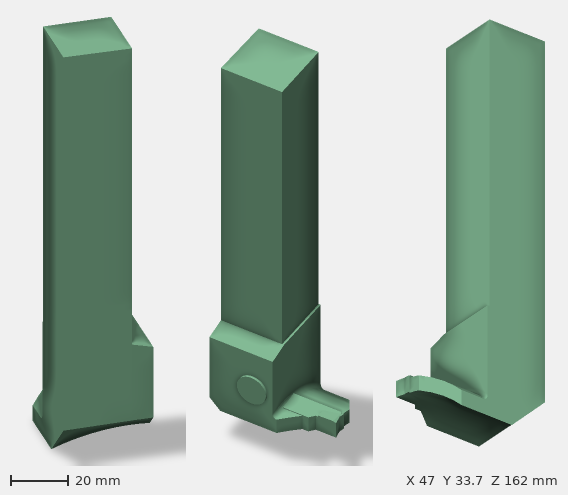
import cadquery as cq
import math

TOTAL_LENGTH = 162.0
TOTAL_REACH = 47.0
SHANK_SIDE = 25.0
HEAD_DEPTH = 32.7
HEAD_HEIGHT = 45.0
SHOULDER_STEP = 0.8
SHOULDER_ANGLE = 15.0
HEEL_CHAMFER = 15.0
BACK_TAPER = 0.5

ARC_RADIUS = 33.9
CROWN_Y = 25.5
BLADE_THICKNESS = 6.2
ROOT_FILLET = 1.6
BLADE_FRONT_X = 1.3
FLANK_START_Y = 13.6
FLANK_END_X = 9.5
REAR_FLANK_X = 12.5

PAD_RISE = 0.3
PAD_FRONT_Y = 18.6
PAD_REAR_Y = 27.0
PAD_CORNER_X = 10.0
PAD_CORNER_END_X = 8.3

SCREW_DIAMETER = 11.8
SCREW_X = 29.3
SCREW_Z = 26.7
SCREW_HEIGHT = 1.0

INSERT_REAR_Y = 25.0
INSERT_LENGTH = 7.5
INSERT_SIDE_Y = 21.0
INSERT_NOSE_Y = 19.6
INSERT_FRONT_X = 0.5
INSERT_WAIST_Y = 21.2
INSERT_WAIST_X = 0.8
RAKE_RISE = 0.6
LAND_DROP = 0.5

OVERCUT = 1.6
CUTTER_SIZE = 81.0

shank_x = TOTAL_REACH - SHANK_SIDE
head_x = shank_x - SHOULDER_STEP
under_crown_z = ARC_RADIUS - math.sqrt(ARC_RADIUS**2 - CROWN_Y**2)
blade_crown_z = under_crown_z + BLADE_THICKNESS
pad_z = blade_crown_z + PAD_RISE
root_x = head_x - ROOT_FILLET


def prism_z(points, bottom, top):
    """Upright prism with the given XY outline."""
    return cq.Workplane("XY").workplane(offset=bottom).polyline(points).close().extrude(top - bottom)


def arc_cylinder(crown_z, radius, start_x, end_x):
    """Cylinder along X whose top line lies at the crown, concentric for any radius."""
    center_z = crown_z - ARC_RADIUS
    return (
        cq.Workplane("YZ").workplane(offset=start_x)
        .center(CROWN_Y, center_z).circle(radius).extrude(end_x - start_x)
    )


def make_shank():
    return cq.Workplane("XY").box(
        SHANK_SIDE, SHANK_SIDE, TOTAL_LENGTH, centered=False
    ).translate((shank_x, 0, 0))


def make_head():
    shoulder_drop = (HEAD_DEPTH - SHANK_SIDE) * math.tan(math.radians(SHOULDER_ANGLE))
    side = [
        (0, 0),
        (HEAD_DEPTH, 0),
        (HEAD_DEPTH, HEAD_HEIGHT - shoulder_drop),
        (SHANK_SIDE, HEAD_HEIGHT),
        (0, HEAD_HEIGHT),
    ]
    return cq.Workplane("YZ").workplane(offset=head_x).polyline(side).close().extrude(TOTAL_REACH - head_x)


def make_blade_plan():
    """Blade outline seen along Z, over its full height."""
    outline = [
        (FLANK_END_X, 0),
        (TOTAL_REACH, 0),
        (TOTAL_REACH, HEAD_DEPTH),
        (root_x, HEAD_DEPTH),
        (REAR_FLANK_X, PAD_REAR_Y),
        (PAD_CORNER_X, PAD_REAR_Y),
        (PAD_CORNER_END_X, INSERT_REAR_Y),
        (BLADE_FRONT_X, INSERT_REAR_Y),
        (BLADE_FRONT_X, FLANK_START_Y),
    ]
    return prism_z(outline, 0, HEAD_HEIGHT)


def make_pad():
    pad_width = PAD_REAR_Y - PAD_FRONT_Y
    pad = cq.Workplane("XY").box(head_x, pad_width, pad_z - under_crown_z, centered=False)
    return pad.translate((0, PAD_FRONT_Y, under_crown_z))


def make_root_fillet():
    """Ring over the blade, hollowed by a torus that touches the blade and the head."""
    ring = arc_cylinder(blade_crown_z, ARC_RADIUS + ROOT_FILLET, root_x, head_x)
    torus = cq.Workplane(
        cq.Solid.makeTorus(
            ARC_RADIUS + ROOT_FILLET, ROOT_FILLET,
            cq.Vector(root_x, CROWN_Y, blade_crown_z - ARC_RADIUS), cq.Vector(1, 0, 0),
        )
    )
    return ring.cut(torus)


def make_blade():
    plan = make_blade_plan()
    curved = plan.intersect(arc_cylinder(blade_crown_z, ARC_RADIUS, 0, TOTAL_REACH))
    pad = plan.intersect(make_pad())
    fillet = plan.intersect(make_root_fillet())
    return curved.union(pad).union(fillet)


def make_screw_head():
    return (
        cq.Workplane("XZ", origin=(SCREW_X, HEAD_DEPTH, SCREW_Z))
        .circle(SCREW_DIAMETER / 2).extrude(-SCREW_HEIGHT)
    )


def cut_underside(body):
    """Curved underside, parallel to the blade top along Z."""
    return body.cut(arc_cylinder(under_crown_z, ARC_RADIUS, -OVERCUT, TOTAL_REACH + OVERCUT))


def make_back_cutter():
    """Wedge behind the leaning part of the back face."""
    return prism_z(
        [
            (TOTAL_REACH - BACK_TAPER, 0),
            (TOTAL_REACH + OVERCUT, 0),
            (TOTAL_REACH + OVERCUT, SHANK_SIDE),
            (TOTAL_REACH, SHANK_SIDE),
        ], 0, TOTAL_LENGTH,
    )


def make_heel_cutter():
    return (
        cq.Workplane("XZ")
        .polyline([(TOTAL_REACH - HEEL_CHAMFER, 0), (TOTAL_REACH, 0), (TOTAL_REACH, HEEL_CHAMFER)])
        .close().extrude(-HEAD_DEPTH)
    )


def half_space_above(origin, second, third):
    """Large block on the upper side of the plane through three points, counterclockwise from above."""
    normal = (second - origin).cross(third - origin)
    plane = cq.Plane(origin, second - origin, normal)
    return cq.Workplane(plane).rect(CUTTER_SIZE, CUTTER_SIZE).extrude(CUTTER_SIZE)


def make_insert():
    """Cutting insert with two front flanks and a rake plane that rises to the rear corner."""
    outline = [
        (0, INSERT_REAR_Y),
        (INSERT_WAIST_X, INSERT_WAIST_Y),
        (INSERT_FRONT_X, PAD_FRONT_Y),
        (BLADE_FRONT_X, PAD_FRONT_Y),
        (BLADE_FRONT_X, INSERT_NOSE_Y),
        (INSERT_LENGTH, INSERT_SIDE_Y),
        (INSERT_LENGTH, INSERT_REAR_Y),
    ]
    block = cut_underside(prism_z(outline, 0, pad_z + OVERCUT))
    nose = cq.Vector(BLADE_FRONT_X, INSERT_NOSE_Y, pad_z)
    side = cq.Vector(INSERT_LENGTH, INSERT_SIDE_Y, pad_z)
    ridge = cq.Vector(BLADE_FRONT_X, INSERT_REAR_Y, pad_z + RAKE_RISE)
    corner = cq.Vector(0, INSERT_REAR_Y, pad_z + RAKE_RISE - LAND_DROP)
    rake = half_space_above(nose, side, ridge)
    land = half_space_above(nose, ridge, corner)
    return block.cut(rake).cut(land)


insert = make_insert()
holder = make_shank().union(make_head()).union(make_blade())
holder = cut_underside(holder)
holder = holder.union(make_screw_head()).cut(make_back_cutter()).cut(make_heel_cutter()).cut(insert)

result = cq.Compound.makeCompound([holder.val(), insert.val()])